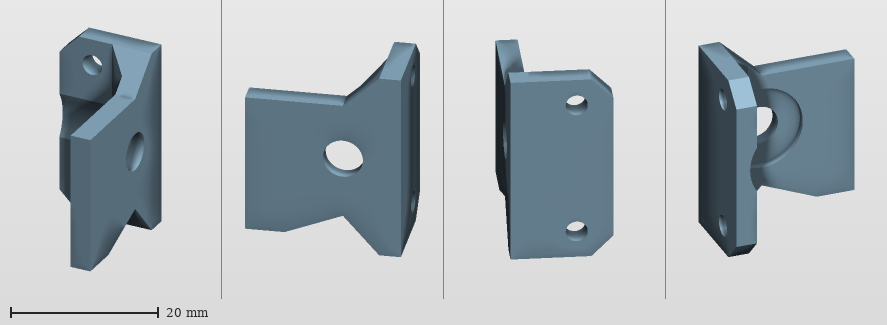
import cadquery as cq

width = 14.0
depth = 21.5
height = 27.0
wall = 3.0
corner = wall

waist_y = -8.0
waist_top_z = 22.35
waist_bottom_z = 5.55
foot_y = -16.05
foot_z = 2.3

gusset = wall

bore_y = waist_y
bore_z = 14.28
bore_diameter = 12.0
bore_recess = 1.0
web_hole_diameter = 5.5

screw_diameter = 3.0
screw_x = 5.0
screw_heights = (3.85, 23.1)

web_face_x = width - wall


def make_flange():
    """Plate in the XZ plane with its two free corners chamfered."""
    plate = cq.Workplane("XY").box(width, wall, height, centered=False)
    return plate.translate((0, -wall, 0)).edges("<X and |Y").chamfer(corner)


def web_prism(start_x, length):
    """Web outline extruded along +X."""
    outline = [
        (0, 0),
        (-wall, 0),
        (waist_y, waist_bottom_z),
        (foot_y, foot_z),
        (-depth, foot_z),
        (-depth, waist_top_z),
        (waist_y, waist_top_z),
        (-wall, height),
        (0, height),
    ]
    return cq.Workplane("YZ", origin=(start_x, 0, 0)).polyline(outline).close().extrude(length)


def make_gusset():
    """45 degree corner fill, trimmed to the sloped outline of the web."""
    triangle = [
        (web_face_x - gusset, -wall),
        (web_face_x, -wall),
        (web_face_x, -wall - gusset),
    ]
    fill = cq.Workplane("XY").polyline(triangle).close().extrude(height)
    return fill.intersect(web_prism(web_face_x - gusset, gusset))


def cylinder_along_x(diameter, length):
    """Cylinder on the bore axis, starting at the flange's free edge."""
    plane = cq.Workplane("YZ").center(bore_y, bore_z)
    return plane.circle(diameter / 2).extrude(length)


def make_screw_holes():
    points = [(screw_x, z) for z in screw_heights]
    return cq.Workplane("XZ").pushPoints(points).circle(screw_diameter / 2).extrude(wall)


result = make_flange().union(web_prism(web_face_x, wall)).union(make_gusset())
result = result.cut(cylinder_along_x(bore_diameter, web_face_x + bore_recess))
result = result.cut(cylinder_along_x(web_hole_diameter, width))
result = result.cut(make_screw_holes())